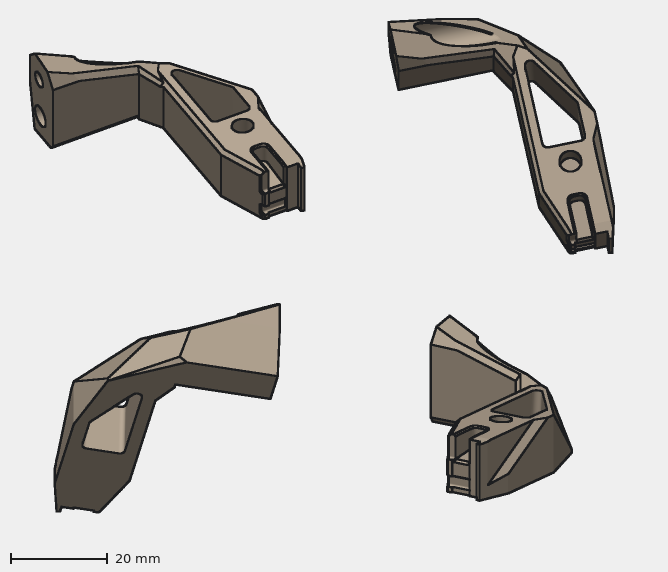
import cadquery as cq
import math

REACH = 200.0
GAP = 0.1

PITCH = math.radians(5.8)
RISE = math.tan(PITCH)
LOWEST_X = 2.13
TIP_LEVEL = 17.75
TIP_LEVEL_START_X = 50.7

LEG_WIDTH = 10.42
LEG_INNER_Y = 20.1
ELBOW_END = (15.5, 23.1)
NOSE_START = (41.45, 23.1)
NOSE_END = (52.45, 27.1)
ARM_END_X = 52.8
NOSE_CORNER_Y = 27.45
FIN_INNER_Y = 35.13
FIN_END = (54.46, 35.87)
FIN_END_INNER_X = 54.3
BACK_Y = 38.05
BACK_RIGHT_X = 46.0
BACK_LEFT_X = 26.6
REAR_CORNER = (11.56, 34.0)

LEG_PEAK = (2.3, 21.81)
LEG_TOP_RIGHT = (7.95, 21.3)
LEG_SHOULDER_Z = 18.2
LEG_UPPER_LEFT_Z = 19.35
LEG_LOWER_LEFT_Z = 12.1
LEG_FALL = 0.302
LEG_EDGE_X = 9.18
LEG_EDGE_START_Y = 5.1
LEG_EDGE_END_Y = 20.5
LEG_BOTTOM_CHAMFER = (0.86, 1.15)

HIP = (0.57, 18.73, 8.53)
WAIST = (5.94, 26.05, 9.95)
HEEL = (1.96, 20.5, 0.95)
HEEL_TIP = (LOWEST_X, 19.3, 0)
REAR_TOP = (BACK_LEFT_X, BACK_Y, 15.3)
REAR_CORNER_TOP_Z = 1.7

FRONT_CHAMFER = 0.95
LEDGE_INNER_Y = 36.5
LEDGE_INNER_START_X = 32.5
LEDGE_OUTER_START_X = 29.15
LEDGE_FALL = 0.4

WINDOW_FRONT_Y = 26.0
WINDOW_BACK_Y = 35.0
WINDOW_RIGHT_X = 32.23
WINDOW_BACK_LEFT_X = 23.94
WINDOW_FRONT_LEFT_X = 10.25
WINDOW_RADIUS = 1.1

MAGNET_CENTER = (36.2, 30.87)
MAGNET_RADIUS = 2.27
MAGNET_FLOOR_Z = 10.0
SCREW_RADIUS = 1.72
UPPER_SCREW = (4.14, 15.83)
HEAD_RADIUS = 3.5
HEAD_CENTER = (4.36, 15.63)
HEAD_RIM_CHAMFER = 0.21
HEAD_SEAT_Y = 4.5
LOWER_SCREW = (4.76, 5.82)
INSERT_RADIUS = 2.38
INSERT_DEPTH = 6.0
LOWER_SCREW_DEPTH = 10.0

SLOT_FRONT_Y = 28.8
SLOT_BACK_Y = 32.2
SLOT_LEFT_X = 43.8
SLOT_FLOOR_Z = 12.4
SLOT_RADIUS = 1.1
SLOT_CHAMFER = 0.4
END_RECESS_X = 52.45
END_RECESS_MARGIN = 0.4
SLOT_END_CHAMFER = 0.55
NOTCH_X = 51.85
NOTCH_RADIUS = 0.4
NOTCH_CHAMFER = 0.3
LOWER_NOTCH_BOTTOM_Z = 6.3
LOWER_NOTCH_TOP_Z = 8.7


def arm_top(x):
    """Z of the arm's pitched top."""
    return TIP_LEVEL + (x - TIP_LEVEL_START_X) * RISE


def underside(x):
    """Z of the underside, parallel to the arm's top."""
    return (x - LOWEST_X) * RISE


def leg_top(x, y):
    """Z of the leg's sloping top."""
    slope = (LEG_TOP_RIGHT[1] - LEG_PEAK[1]) / (LEG_TOP_RIGHT[0] - LEG_PEAK[0])
    return LEG_PEAK[1] + slope * (x - LEG_PEAK[0]) - LEG_FALL * y


def on_leg_top(x, y):
    return (x, y, leg_top(x, y))


def nose_wall_y(x):
    slope = (NOSE_END[1] - NOSE_START[1]) / (NOSE_END[0] - NOSE_START[0])
    return NOSE_START[1] + slope * (x - NOSE_START[0])


def trim(body, a, b, c):
    """Cut the body to the inner side of plane a-b-c, whose points run anticlockwise seen from outside."""
    a, b, c = cq.Vector(*a), cq.Vector(*b), cq.Vector(*c)
    plane = cq.Plane(origin=a, xDir=b - a, normal=(b - a).cross(c - a))
    return body.cut(cq.Workplane(plane).rect(REACH, REACH).extrude(REACH))


def footprint():
    rear_slope = (BACK_Y - REAR_CORNER[1]) / (BACK_LEFT_X - REAR_CORNER[0])
    outline = [
        (0, 0),
        (LEG_WIDTH, 0),
        (LEG_WIDTH, LEG_INNER_Y),
        ELBOW_END,
        NOSE_START,
        (ARM_END_X, nose_wall_y(ARM_END_X)),
        (ARM_END_X, FIN_INNER_Y),
        (FIN_END_INNER_X, FIN_INNER_Y),
        FIN_END,
        (BACK_RIGHT_X, BACK_Y),
        (BACK_LEFT_X, BACK_Y),
        (0, BACK_Y - BACK_LEFT_X * rear_slope),
    ]
    return cq.Workplane("XY").polyline(outline).close().extrude(REACH)


def ledge():
    """The space above the sloping ledge along the back, which runs out into the arm's top."""
    space = cq.Workplane("XY").box(REACH, REACH, REACH, centered=(False, False, True))
    space = space.translate((0, LEDGE_INNER_Y, 0))
    inner = (LEDGE_INNER_START_X, LEDGE_INNER_Y, arm_top(LEDGE_INNER_START_X))
    outer = (LEDGE_OUTER_START_X, BACK_Y, arm_top(LEDGE_OUTER_START_X))
    inner_right = (LEDGE_INNER_START_X + 1, LEDGE_INNER_Y, inner[2] - LEDGE_FALL)
    return trim(space, inner, outer, inner_right)


def arm():
    body = footprint()
    body = trim(body, (0, 0, arm_top(0)), (1, 0, arm_top(1)), (0, 1, arm_top(0)))
    body = trim(body, (0, 0, TIP_LEVEL), (1, 0, TIP_LEVEL), (0, 1, TIP_LEVEL))
    for start, end in ((ELBOW_END, NOSE_START), (NOSE_START, NOSE_END)):
        dx, dy = end[0] - start[0], end[1] - start[1]
        length = math.hypot(dx, dy)
        low_start = (*start, arm_top(start[0]) - FRONT_CHAMFER)
        low_end = (*end, arm_top(end[0]) - FRONT_CHAMFER)
        inner_x = start[0] - dy / length * FRONT_CHAMFER
        inner_y = start[1] + dx / length * FRONT_CHAMFER
        body = trim(body, low_start, low_end, (inner_x, inner_y, arm_top(inner_x)))
    return body.cut(ledge())


def leg():
    body = footprint()
    body = trim(body, on_leg_top(0, 0), on_leg_top(1, 0), on_leg_top(0, 1))
    edge_start = on_leg_top(LEG_EDGE_X, LEG_EDGE_START_Y)
    edge_end = on_leg_top(LEG_EDGE_X, LEG_INNER_Y)
    edge_drop = LEG_WIDTH - LEG_EDGE_X
    wall_corner = (LEG_WIDTH, LEG_INNER_Y, edge_end[2] - edge_drop)
    leg_side = trim(body, edge_start, wall_corner, edge_end)
    shoulder = (LEG_WIDTH, 0, LEG_SHOULDER_Z)
    leg_side = trim(leg_side, shoulder, edge_start, (LEG_TOP_RIGHT[0], 0, LEG_TOP_RIGHT[1]))
    elbow_corner = (*ELBOW_END, leg_top(*ELBOW_END) - FRONT_CHAMFER)
    elbow_side = trim(body, wall_corner, elbow_corner, on_leg_top(LEG_EDGE_X, LEG_EDGE_END_Y))
    return leg_side.union(elbow_side)


def facet_outside(body):
    """Cut the underside and the faceted outer side."""
    left_top = (0, 0, LEG_UPPER_LEFT_Z)
    peak = (LEG_PEAK[0], 0, LEG_PEAK[1])
    rear_corner_top = (*REAR_CORNER, REAR_CORNER_TOP_Z)
    heel_facet_end = (*REAR_CORNER, HEEL[2])
    body = trim(body, (0, 0, underside(0)), (0, 1, underside(0)), (1, 0, underside(1)))
    body = trim(body, (LOWEST_X, 0, 0), (0, 0, LEG_LOWER_LEFT_Z), (0, 1, LEG_LOWER_LEFT_Z))
    body = trim(body, left_top, peak, HIP)
    body = trim(body, WAIST, rear_corner_top, HIP)
    body = trim(body, WAIST, REAR_TOP, rear_corner_top)
    return trim(body, HEEL, heel_facet_end, HEEL_TIP)


def leg_bottom_chamfer():
    width, height = LEG_BOTTOM_CHAMFER
    corner_z = underside(LEG_WIDTH)
    return (
        cq.Workplane("XZ")
        .polyline(
            [
                (LEG_WIDTH - width, underside(LEG_WIDTH - width)),
                (LEG_WIDTH, corner_z + height),
                (LEG_WIDTH, 0),
                (LEG_WIDTH - width, 0),
            ]
        )
        .close()
        .extrude(-LEG_INNER_Y)
    )


def window():
    tilted = cq.Plane(
        origin=(0, 0, arm_top(0)),
        xDir=(math.cos(PITCH), 0, math.sin(PITCH)),
        normal=(-math.sin(PITCH), 0, math.cos(PITCH)),
    )
    corners = [
        (WINDOW_FRONT_LEFT_X, WINDOW_FRONT_Y),
        (WINDOW_RIGHT_X, WINDOW_FRONT_Y),
        (WINDOW_RIGHT_X, WINDOW_BACK_Y),
        (WINDOW_BACK_LEFT_X, WINDOW_BACK_Y),
    ]
    return (
        cq.Workplane(tilted)
        .polyline([(x / math.cos(PITCH), y) for x, y in corners])
        .close()
        .extrude(REACH, both=True)
        .edges(cq.selectors.ParallelDirSelector(tilted.zDir))
        .fillet(WINDOW_RADIUS)
    )


def bore_along_leg(center, radius, start, end):
    x, z = center
    return cq.Workplane("XZ", origin=(x, start, z)).circle(radius).extrude(start - end)


def magnet_hole():
    return (
        cq.Workplane("XY", origin=(*MAGNET_CENTER, MAGNET_FLOOR_Z)).circle(MAGNET_RADIUS).extrude(REACH)
    )


def slot():
    width = SLOT_BACK_Y - SLOT_FRONT_Y
    body = cq.Workplane("XY").box(REACH, width, REACH, centered=False)
    body = body.translate((SLOT_LEFT_X, SLOT_FRONT_Y, SLOT_FLOOR_Z))
    return body.edges("|Z and <X").fillet(SLOT_RADIUS)


def cut_slot(body):
    """Cut the slot, set back the end face across it and break its edges."""
    recess_width = SLOT_BACK_Y - SLOT_FRONT_Y + 2 * END_RECESS_MARGIN
    recess = cq.Workplane("XY").box(REACH, recess_width, REACH, centered=(False, False, True))
    recess = recess.translate((END_RECESS_X, SLOT_FRONT_Y - END_RECESS_MARGIN, 0))
    body = body.cut(slot()).cut(recess)
    body = body.edges(
        cq.selectors.BoxSelector(
            (SLOT_LEFT_X - GAP, SLOT_FRONT_Y - GAP, arm_top(SLOT_LEFT_X) - GAP),
            (END_RECESS_X - GAP, SLOT_BACK_Y + GAP, TIP_LEVEL + GAP),
        )
    ).chamfer(SLOT_CHAMFER)
    body = body.edges(
        cq.selectors.BoxSelector(
            (END_RECESS_X - GAP, SLOT_FRONT_Y, SLOT_FLOOR_Z - GAP),
            (END_RECESS_X + GAP, SLOT_BACK_Y, SLOT_FLOOR_Z + GAP),
        )
    ).chamfer(SLOT_END_CHAMFER)
    end_flare = (
        cq.Workplane("XY", origin=(END_RECESS_X, SLOT_BACK_Y, SLOT_FLOOR_Z))
        .polyline([(-SLOT_END_CHAMFER, 0), (0, END_RECESS_MARGIN), (0, 0)])
        .close()
        .extrude(REACH)
    )
    return body.cut(end_flare)


def cut_notch(body, bottom, top, inner_y):
    """Cut a notch into the end of the nose, between two levels, and break its edges on the nose side."""
    notch = cq.Workplane("XY").box(REACH, inner_y, top - bottom, centered=False)
    notch = notch.translate((NOTCH_X, 0, bottom)).edges("|Y and <X").fillet(NOTCH_RADIUS)
    rim = cq.selectors.BoxSelector(
        (NOTCH_X - GAP, NOSE_START[1], bottom - GAP),
        (ARM_END_X - GAP, nose_wall_y(ARM_END_X), top + GAP),
    )
    return body.cut(notch).edges(rim).chamfer(NOTCH_CHAMFER)


def trim_nose_corner(body):
    return trim(body, (*NOSE_END, 0), (ARM_END_X, NOSE_CORNER_Y, 0), (*NOSE_END, 1))


result = facet_outside(arm().union(leg()))
result = result.cut(bore_along_leg(HEAD_CENTER, HEAD_RADIUS, HEAD_SEAT_Y, BACK_Y))
result = result.edges("%ELLIPSE").chamfer(HEAD_RIM_CHAMFER)
result = result.cut(leg_bottom_chamfer()).cut(window()).cut(magnet_hole())
result = cut_slot(result)
result = cut_notch(result, LOWER_NOTCH_BOTTOM_Z, LOWER_NOTCH_TOP_Z, SLOT_BACK_Y + END_RECESS_MARGIN)
result = cut_notch(result, SLOT_FLOOR_Z, LEG_PEAK[1], SLOT_BACK_Y)
result = trim_nose_corner(result)
result = result.cut(bore_along_leg(UPPER_SCREW, SCREW_RADIUS, 0, BACK_Y))
result = result.cut(bore_along_leg(LOWER_SCREW, INSERT_RADIUS, 0, INSERT_DEPTH))
result = result.cut(bore_along_leg(LOWER_SCREW, SCREW_RADIUS, 0, LOWER_SCREW_DEPTH))